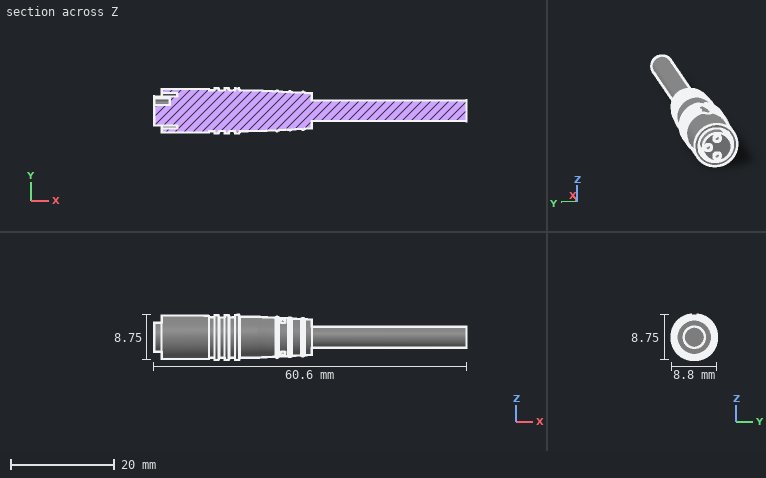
import cadquery as cq

total_length = 60.65
shell_start = 1.45
shell_end = 10.7
taper_start = 20.15
grip_end = 30.6

nose_radius = 2.85
bore_radius = 3.4
shell_radius = 4.25
grip_radius = 4.0
grip_end_radius = 3.45
cable_radius = 2.05

bore_depth = 3.05

rib_radius = 4.4
rib_start = 11.7
rib_pitch = 2.0
rib_count = 3
rib_crest_width = 0.8
rib_base_width = 1.0

ring_centers = (23.9, 26.4, 28.9)
ring_width = 0.7
ring_height = 0.2

socket_radius = 0.6
socket_mouth_radius = 0.7
socket_offset = 1.75
socket_depth = 3.05

label_center = 13.3
label_length = 7.75
label_width = 2.3
label_floor_radius = 3.75

dimple_x = 25.0
dimple_y = 2.05
dimple_diameter = 1.05
dimple_floor = 2.2


def cylinder(start, end, radius):
    """Cylinder along X between two axial stations."""
    return cq.Workplane("YZ", origin=(start, 0, 0)).circle(radius).extrude(end - start)


def revolve_profile(points):
    """Turn a closed (axial, radial) outline about the X axis."""
    return cq.Workplane("XY").polyline(points).close().revolve(360, (0, 0, 0), (1, 0, 0))


def taper_radius(x):
    """Radius of the tapered grip surface at an axial station."""
    slope = (grip_end_radius - grip_radius) / (grip_end - taper_start)
    return grip_radius + slope * (x - taper_start)


def make_body():
    body = revolve_profile([
        (0, 0),
        (0, nose_radius),
        (shell_start, nose_radius),
        (shell_start, shell_radius),
        (shell_end, shell_radius),
        (shell_end, grip_radius),
        (taper_start, grip_radius),
        (grip_end, grip_end_radius),
        (grip_end, cable_radius),
        (total_length, cable_radius),
        (total_length, 0),
    ])
    gap_end = shell_start + bore_depth
    gap = cylinder(shell_start, gap_end, bore_radius).cut(cylinder(shell_start, gap_end, nose_radius))
    return body.cut(gap)


def make_rib(start):
    return revolve_profile([
        (start, 0),
        (start, rib_radius),
        (start + rib_crest_width, rib_radius),
        (start + rib_base_width, grip_radius),
        (start + rib_base_width, 0),
    ])


def make_ring(center):
    """Low ridge with a sharp crest, standing on the taper."""
    start = center - ring_width / 2
    end = center + ring_width / 2
    return revolve_profile([
        (start, 0),
        (start, taper_radius(start)),
        (center, taper_radius(center) + ring_height),
        (end, taper_radius(end)),
        (end, 0),
    ])


def make_sockets():
    """Three sockets with countersunk mouths at the top, the +Y side and the bottom of the nose face."""
    lead_in = socket_mouth_radius - socket_radius
    socket = revolve_profile([
        (0, 0),
        (0, socket_mouth_radius),
        (lead_in, socket_radius),
        (socket_depth, socket_radius),
        (socket_depth, 0),
    ])
    top = socket.translate((0, 0, socket_offset))
    side = socket.translate((0, socket_offset, 0))
    bottom = socket.translate((0, 0, -socket_offset))
    return top.union(side).union(bottom)


def make_label_recess():
    """Oval cutter that stops at a floor concentric with the grip."""
    oval = (
        cq.Workplane("XY")
        .center(label_center, 0)
        .ellipse(label_length / 2, label_width / 2)
        .extrude(2 * rib_radius)
    )
    core = cylinder(label_center - label_length, label_center + label_length, label_floor_radius)
    return oval.cut(core)


def make_dimples(side):
    """Pair of dimple cutters on top (side = 1) or underneath (side = -1)."""
    return (
        cq.Workplane("XY", origin=(dimple_x, 0, side * dimple_floor))
        .pushPoints([(0, dimple_y), (0, -dimple_y)])
        .circle(dimple_diameter / 2)
        .extrude(side * grip_radius)
    )


result = make_body()
for index in range(rib_count):
    result = result.union(make_rib(rib_start + index * rib_pitch))
for ring_center in ring_centers:
    result = result.union(make_ring(ring_center))
result = result.cut(make_sockets()).cut(make_label_recess())
for dimple_side in (1, -1):
    result = result.cut(make_dimples(dimple_side))